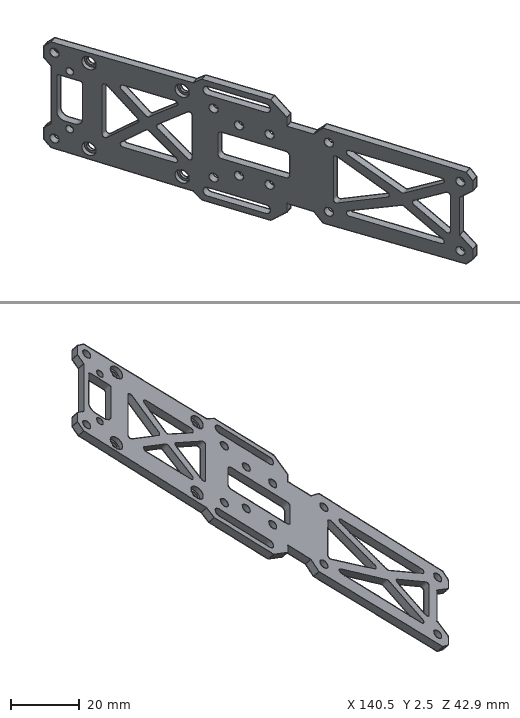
import cadquery as cq

LENGTH = 140.45
HEIGHT = 42.93
THICKNESS = 2.5
HALF_HEIGHT = HEIGHT / 2

LEFT_EAR_CHAMFER = 2.4
LEFT_NOTCH_DEPTH = 2.4
LEFT_NOTCH_HALF = 10.25
LEFT_EAR_INNER_Z = 12.5
LEFT_EAR_OUTER_Z = 16.5
LEFT_SIDE_Z = 18.8
LEFT_FLAT_END_X = 6.65

WIDE_START_X = 48.9
WIDE_START_Z = 19.25
WIDE_TOP_START_X = 51.75
WIDE_TOP_END_X = 74.3
WIDE_END_X = 79.6
WIDE_END_Z = 16.85

NECK_HALF = 13.75
NECK_END_X = 88.35
RIGHT_SIDE_START_X = 91.4
RIGHT_SIDE_START_Z = 16.9
RIGHT_EAR_CHAMFER = 2.15
RIGHT_SIDE_END_Z = 16.3
RIGHT_EAR_OUTER_Z = 13.95
RIGHT_EAR_INNER_Z = 10.35
RIGHT_NOTCH_DEPTH = 4.3
RIGHT_NOTCH_HALF = 6.7

SCREW_DIAMETER = 3.0
SMALL_SCREW_DIAMETER = 2.5
COUNTERBORE_DIAMETER = 4.6
COUNTERBORE_DEPTH = 1.5
STACK_PITCH = 30.5
STACK_FIRST_X = 14.8
LEFT_EAR_HOLE_X = 3.5
SWITCH_SCREW_X = 8.5
SWITCH_SCREW_HALF_PITCH = 10.25
ARM_HOLE_HALF_PITCH = 12.3
ARM_HOLE_XS = (55.6, 93.3, 136.35)
CENTER_HOLE_HALF_PITCH = 8.95
CENTER_HOLE_FIRST_X = 63.9
CENTER_HOLE_PITCH = 10.0

SLOT_START_X = 52.15
SLOT_END_X = 74.2
SLOT_WIDTH = 3.05
SLOT_Z = 17.95

WINDOW_START_X = 57.0
WINDOW_END_X = 80.5
WINDOW_HEIGHT = 9.4
WINDOW_RADIUS = 1.3

SWITCH_START_X = 4.3
SWITCH_END_X = 12.7
SWITCH_HEIGHT = 15.8
SWITCH_TOP_RADIUS = 0.7
SWITCH_BOTTOM_RADIUS = 2.6

TRUSS_RADIUS = 0.9

LEFT_TRUSS_START_X = 19.15
LEFT_TRUSS_START_HALF = 10.6
LEFT_TRUSS_START_APEX_X = 31.6
LEFT_TRUSS_END_X = 48.55
LEFT_TRUSS_END_HALF = 9.45
LEFT_TRUSS_END_APEX_X = 36.4
LEFT_TRUSS_SIDE_Z = 11.0
LEFT_TRUSS_SIDE_START_X = 23.5
LEFT_TRUSS_SIDE_END_X = 45.55
LEFT_TRUSS_SIDE_APEX_X = 33.95
LEFT_TRUSS_SIDE_APEX_Z = 2.1

RIGHT_TRUSS_START_X = 94.8
RIGHT_TRUSS_START_HALF = 8.8
RIGHT_TRUSS_START_APEX_X = 114.35
RIGHT_TRUSS_END_X = 133.1
RIGHT_TRUSS_END_HALF = 7.9
RIGHT_TRUSS_END_APEX_X = 119.85
RIGHT_TRUSS_SIDE_Z = 11.65
RIGHT_TRUSS_SIDE_START_X = 95.65
RIGHT_TRUSS_SIDE_END_X = 133.45
RIGHT_TRUSS_SIDE_APEX_X = 117.5
RIGHT_TRUSS_SIDE_APEX_Z = 2.1


def plate_plane():
    """XZ sketch plane on the back face, with its origin at the left end of the plate."""
    return cq.Workplane("XZ", origin=(-LENGTH / 2, THICKNESS / 2, 0))


def make_plate():
    right_notch_x = LENGTH - RIGHT_NOTCH_DEPTH
    upper = [
        (LEFT_NOTCH_DEPTH, LEFT_NOTCH_HALF),
        (0, LEFT_EAR_INNER_Z),
        (0, LEFT_EAR_OUTER_Z),
        (LEFT_EAR_CHAMFER, LEFT_SIDE_Z),
        (LEFT_FLAT_END_X, LEFT_SIDE_Z),
        (WIDE_START_X, WIDE_START_Z),
        (WIDE_TOP_START_X, HALF_HEIGHT),
        (WIDE_TOP_END_X, HALF_HEIGHT),
        (WIDE_END_X, WIDE_END_Z),
        (WIDE_END_X, NECK_HALF),
        (NECK_END_X, NECK_HALF),
        (RIGHT_SIDE_START_X, RIGHT_SIDE_START_Z),
        (LENGTH - RIGHT_EAR_CHAMFER, RIGHT_SIDE_END_Z),
        (LENGTH, RIGHT_EAR_OUTER_Z),
        (LENGTH, RIGHT_EAR_INNER_Z),
        (right_notch_x, RIGHT_NOTCH_HALF),
    ]
    lower = [(x, -z) for x, z in reversed(upper)]
    return plate_plane().polyline(upper + lower).close().extrude(THICKNESS)


def mirrored_points(xs, half_pitch):
    """Points at each X, above and below the centerline."""
    return [(x, side * half_pitch) for x in xs for side in (1, -1)]


def hole_cutter(points, diameter):
    return plate_plane().pushPoints(points).circle(diameter / 2).extrude(THICKNESS)


def counterbore_cutter(points):
    """Shallow bores sunk into the front (-Y) face."""
    front = plate_plane().workplane(offset=THICKNESS - COUNTERBORE_DEPTH)
    return front.pushPoints(points).circle(COUNTERBORE_DIAMETER / 2).extrude(COUNTERBORE_DEPTH)


def slot_cutter():
    length = SLOT_END_X - SLOT_START_X
    center_x = (SLOT_START_X + SLOT_END_X) / 2
    points = mirrored_points([center_x], SLOT_Z)
    return plate_plane().pushPoints(points).slot2D(length, SLOT_WIDTH).extrude(THICKNESS)


def window_block(start_x, end_x, height):
    center_x = (start_x + end_x) / 2
    return plate_plane().center(center_x, 0).rect(end_x - start_x, height).extrude(THICKNESS)


def central_window_cutter():
    block = window_block(WINDOW_START_X, WINDOW_END_X, WINDOW_HEIGHT)
    return block.edges("|Y").fillet(WINDOW_RADIUS)


def switch_window_cutter():
    block = window_block(SWITCH_START_X, SWITCH_END_X, SWITCH_HEIGHT)
    block = block.faces(">Z").edges("|Y").fillet(SWITCH_TOP_RADIUS)
    return block.faces("<Z").edges("|Y").fillet(SWITCH_BOTTOM_RADIUS)


def triangle_cutter(points):
    """Triangular prism through the plate; the points are its corners before rounding."""
    prism = plate_plane().polyline(points).close().extrude(THICKNESS)
    return prism.edges("|Y").fillet(TRUSS_RADIUS)


def end_triangle_cutter(base_x, half_base, apex_x):
    """Triangle with a vertical base and its apex on the centerline."""
    return triangle_cutter([(base_x, half_base), (base_x, -half_base), (apex_x, 0)])


def side_triangle_cutters(base_z, start_x, end_x, apex_x, apex_z):
    """Mirrored pair of triangles with horizontal bases and apexes toward the centerline."""
    cutters = []
    for side in (1, -1):
        corners = [(start_x, side * base_z), (end_x, side * base_z), (apex_x, side * apex_z)]
        cutters.append(triangle_cutter(corners))
    return cutters


def left_truss_cutters():
    """Four triangles that leave an X of struts between the stack holes."""
    start = end_triangle_cutter(LEFT_TRUSS_START_X, LEFT_TRUSS_START_HALF, LEFT_TRUSS_START_APEX_X)
    end = end_triangle_cutter(LEFT_TRUSS_END_X, LEFT_TRUSS_END_HALF, LEFT_TRUSS_END_APEX_X)
    sides = side_triangle_cutters(
        LEFT_TRUSS_SIDE_Z,
        LEFT_TRUSS_SIDE_START_X,
        LEFT_TRUSS_SIDE_END_X,
        LEFT_TRUSS_SIDE_APEX_X,
        LEFT_TRUSS_SIDE_APEX_Z,
    )
    return [start, end] + sides


def right_truss_cutters():
    """Four triangles that leave an X of struts in the right end of the plate."""
    start = end_triangle_cutter(RIGHT_TRUSS_START_X, RIGHT_TRUSS_START_HALF, RIGHT_TRUSS_START_APEX_X)
    end = end_triangle_cutter(RIGHT_TRUSS_END_X, RIGHT_TRUSS_END_HALF, RIGHT_TRUSS_END_APEX_X)
    sides = side_triangle_cutters(
        RIGHT_TRUSS_SIDE_Z,
        RIGHT_TRUSS_SIDE_START_X,
        RIGHT_TRUSS_SIDE_END_X,
        RIGHT_TRUSS_SIDE_APEX_X,
        RIGHT_TRUSS_SIDE_APEX_Z,
    )
    return [start, end] + sides


center_hole_xs = [CENTER_HOLE_FIRST_X, CENTER_HOLE_FIRST_X + CENTER_HOLE_PITCH]
stack_points = mirrored_points([STACK_FIRST_X, STACK_FIRST_X + STACK_PITCH], STACK_PITCH / 2)
screw_points = (
    stack_points
    + mirrored_points([LEFT_EAR_HOLE_X], STACK_PITCH / 2)
    + mirrored_points(ARM_HOLE_XS, ARM_HOLE_HALF_PITCH)
    + mirrored_points(center_hole_xs, CENTER_HOLE_HALF_PITCH)
)
switch_points = mirrored_points([SWITCH_SCREW_X], SWITCH_SCREW_HALF_PITCH)

cutters = [
    hole_cutter(screw_points, SCREW_DIAMETER),
    hole_cutter(switch_points, SMALL_SCREW_DIAMETER),
    counterbore_cutter(stack_points),
    slot_cutter(),
    central_window_cutter(),
    switch_window_cutter(),
]
cutters += left_truss_cutters()
cutters += right_truss_cutters()

result = make_plate()
for cutter in cutters:
    result = result.cut(cutter)